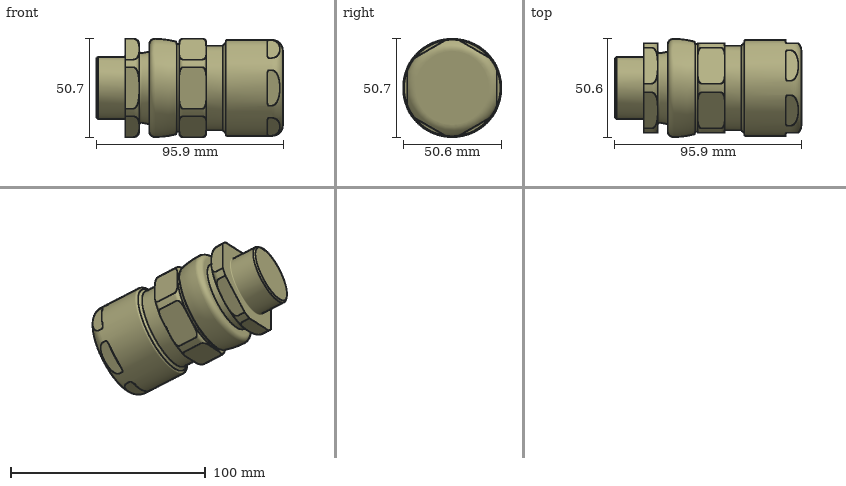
import cadquery as cq
import math


ring_start = 27.0
body_start = 41.1
cap_start = 64.9
total_length = 95.9

hex_sides = 6
across_flats = 46.0
hex_corner_diameter = 50.7
hex_corner_radius = hex_corner_diameter / 2

thread_radius = 16.0
thread_length = 14.8
thread_chamfer = 0.9
thread_root_fillet = 0.5
entry_hex_end = 22.1
entry_hex_rounding = 3.2
cone_start = 23.1
cone_start_radius = 17.9
cone_end_radius = 18.7
seat_root_radius = 18.7
seat_root_middle = (22.4, 18.1)

ring_radius = 25.3
ring_rounding = 3.1
ring_crown_end = 40.5
ring_crown_end_radius = 24.0
ring_edge_radius = 23.1

front_neck_radius = 22.6
rear_neck_radius = 21.8
body_hex_start = 42.6
body_hex_end = 56.4
body_hex_rounding = 1.9

cap_radius = 24.7
cap_cone_end = 66.4
cap_cone_end_radius = 23.3
cap_shoulder = 67.3
cap_rounding = 5.8
flats_start = 87.8
flats_root_fillet = 0.9


def revolve_about_x(profile):
    """Turn a profile of (x, radius) points around the X axis."""
    return profile.revolve(360, (0, 0, 0), (1, 0, 0))


def cylinder(start, end, radius):
    """Round bar along X."""
    return cq.Workplane("YZ", origin=(start, 0, 0)).circle(radius).extrude(end - start)


def hexagon(start, end):
    """Hexagonal bar along X with two flats facing +Y and -Y."""
    across_corners = across_flats / math.cos(math.pi / hex_sides)
    sketch = cq.Workplane("YZ", origin=(start, 0, 0)).transformed(rotate=(0, 0, 90))
    return sketch.polygon(hex_sides, across_corners).extrude(end - start)


def arc_middle(centre_x, centre_radius, arc_radius, direction):
    """Point on a rounding halfway between its ends, at the given angle in degrees."""
    angle = math.radians(direction)
    return (centre_x + arc_radius * math.cos(angle), centre_radius + arc_radius * math.sin(angle))


def make_entry():
    """Threaded spigot, hexagonal flange and tapered seat in one piece."""
    spigot = cylinder(0, thread_length, thread_radius).faces("<X").chamfer(thread_chamfer)
    root_centre = (thread_length - thread_root_fillet, thread_radius + thread_root_fillet)
    root_fillet = revolve_about_x(
        cq.Workplane("XY")
        .moveTo(root_centre[0], thread_radius)
        .threePointArc(
            arc_middle(*root_centre, thread_root_fillet, -45),
            (thread_length, root_centre[1]),
        )
        .lineTo(thread_length, thread_radius - thread_root_fillet)
        .lineTo(root_centre[0], thread_radius - thread_root_fillet)
        .close()
    )
    envelope = cylinder(thread_length, entry_hex_end, hex_corner_radius)
    envelope = envelope.faces(">X").edges().fillet(entry_hex_rounding)
    flange = hexagon(thread_length, entry_hex_end).intersect(envelope)
    seat = revolve_about_x(
        cq.Workplane("XY")
        .moveTo(entry_hex_end, 0)
        .lineTo(entry_hex_end, seat_root_radius)
        .threePointArc(seat_root_middle, (cone_start, cone_start_radius))
        .lineTo(ring_start, cone_end_radius)
        .lineTo(ring_start, 0)
        .close()
    )
    return spigot.union(root_fillet).union(flange).union(seat)


def make_ring():
    """Clamping ring with a crowned outside."""
    crown_start = ring_start + ring_rounding
    rounding_centre = (crown_start, ring_radius - ring_rounding)
    return revolve_about_x(
        cq.Workplane("XY")
        .moveTo(ring_start, 0)
        .lineTo(ring_start, rounding_centre[1])
        .threePointArc(arc_middle(*rounding_centre, ring_rounding, 135), (crown_start, ring_radius))
        .tangentArcPoint((ring_crown_end, ring_crown_end_radius), relative=False)
        .tangentArcPoint((body_start, ring_edge_radius), relative=False)
        .lineTo(body_start, 0)
        .close()
    )


def make_body_nut():
    """Hexagonal nut between a front and a rear round neck."""
    front_neck = cylinder(body_start, body_hex_start, front_neck_radius)
    envelope = cylinder(body_hex_start, body_hex_end, hex_corner_radius)
    envelope = envelope.edges("%CIRCLE").fillet(body_hex_rounding)
    nut = hexagon(body_hex_start, body_hex_end).intersect(envelope)
    rear_neck = cylinder(body_hex_end, cap_start, rear_neck_radius)
    return front_neck.union(nut).union(rear_neck)


def flat_cutter(angle):
    """Block that cuts one spanner flat with a rounded root, turned about X from the +Y side."""
    flat_distance = across_flats / 2
    block = cq.Workplane("XY").box(
        total_length - flats_start, cap_radius - flat_distance, cap_radius, centered=(False, False, True)
    )
    block = block.edges("<X and <Y").fillet(flats_root_fillet)
    return block.translate((flats_start, flat_distance, 0)).rotate((0, 0, 0), (1, 0, 0), angle)


def make_cap():
    """Round end cap with six spanner flats at its rounded end."""
    shoulder_rounding = cap_shoulder - cap_cone_end
    body = revolve_about_x(
        cq.Workplane("XY")
        .moveTo(cap_start, 0)
        .lineTo(cap_start, rear_neck_radius)
        .lineTo(cap_cone_end, cap_cone_end_radius)
        .lineTo(cap_cone_end, cap_radius - shoulder_rounding)
        .threePointArc(
            arc_middle(cap_shoulder, cap_radius - shoulder_rounding, shoulder_rounding, 135),
            (cap_shoulder, cap_radius),
        )
        .lineTo(total_length - cap_rounding, cap_radius)
        .threePointArc(
            arc_middle(total_length - cap_rounding, cap_radius - cap_rounding, cap_rounding, 45),
            (total_length, cap_radius - cap_rounding),
        )
        .lineTo(total_length, 0)
        .close()
    )
    for index in range(hex_sides):
        body = body.cut(flat_cutter(index * 360 / hex_sides))
    return body


entry = make_entry()
ring = make_ring()
body_nut = make_body_nut()
cap = make_cap()

result = cq.Compound.makeCompound([entry.val(), ring.val(), body_nut.val(), cap.val()])